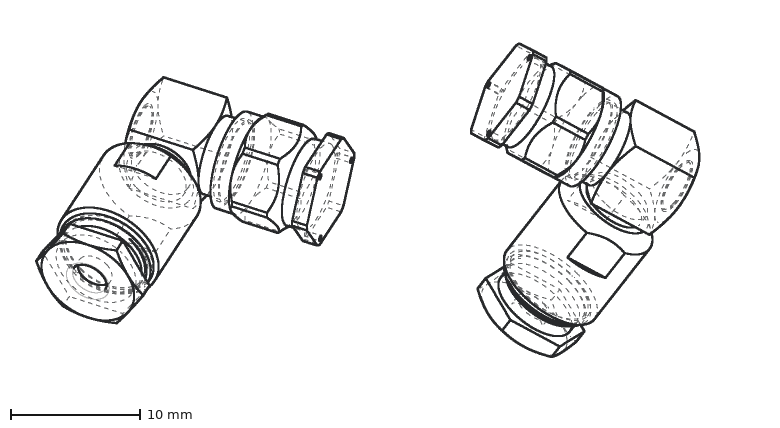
import cadquery as cq
import math


across_flats = 7.9
flat_height = across_flats / 2
hexagon_radius = flat_height / math.cos(math.radians(30))

body_side = 6.37
body_half = body_side / 2
body_end_taper = 20.0
cap_groove_outer_radius = 2.23
cap_groove_root_radius = 2.1
cap_groove_inner_radius = 2.04
cap_groove_depth = 0.13

arm_radius = body_half
collar_start = 4.55
collar_end = 6.11
collar_bore_radius = 3.38
collar_bore_depth = 0.42
coupling_corner_radius = 4.42
coupling_neck_radius = 3.55
coupling_neck_start = 10.45
flange_start = 11.72
flange_end = 12.97
wire_hole_diameter = 0.42
wire_hole_circle_radius = 3.85

cable_neck_radius = 2.55
barrel_start = 4.08
barrel_end = 13.08
barrel_radius = 8.65 / 2
barrel_chamfer_radius = 3.16
wrench_flat_end = 7.98
thread_crest_radius = 3.95
thread_core_radius = 3.52
thread_pitch = 0.5
groove_end = 13.93
thread_end = 14.2
thread_half_angle = 30.0
thread_crest_at_x = 13.7
ridge_sink = 0.01
gland_neck_radius = 3.4
gland_nut_start = 15.29
gland_nut_end = 16.81
gland_chamfer_angle = 30.0
gland_bore_radius = 1.46
gland_bore_depth = 1.3
gland_bore_rounding = 0.36

overlap = 0.21


def turn_about_x(points):
    """Solid of revolution from (x, radius) points that close along the X axis."""
    outline = [(points[0][0], 0)] + points + [(points[-1][0], 0)]
    return cq.Workplane("XY").polyline(outline).close().revolve(360, (0, 0), (1, 0))


def turn_about_cable(points):
    """Solid of revolution from (distance along -Y, radius) points."""
    outline = [(0, -points[0][0])] + [(r, -d) for d, r in points] + [(0, -points[-1][0])]
    return cq.Workplane("XY").polyline(outline).close().revolve(360, (0, 0), (0, 1))


def hexagon_bar(plane, start, end):
    """Hexagonal bar along the plane normal, with two of its flats facing +Z and -Z."""
    return cq.Workplane(plane).workplane(offset=start).polygon(6, 2 * hexagon_radius).extrude(end - start)


def make_body():
    block = cq.Workplane("XY").box(body_side, body_side, body_side)
    corner_radius = body_half * math.sqrt(2)
    taper_length = (corner_radius - body_half) * math.tan(math.radians(body_end_taper))
    envelope = turn_about_x([
        (-body_half, body_half),
        (-body_half + taper_length, corner_radius),
        (body_half - taper_length, corner_radius),
        (body_half, body_half),
    ])
    groove = (
        cq.Workplane("XY")
        .polyline([
            (-body_half, cap_groove_outer_radius),
            (-body_half + cap_groove_depth, cap_groove_root_radius),
            (-body_half, cap_groove_inner_radius),
        ])
        .close()
        .revolve(360, (0, 0), (1, 0))
    )
    return block.intersect(envelope).cut(groove)


def make_coupling():
    tube = turn_about_x([(0, arm_radius), (collar_end, arm_radius)])

    collar = turn_about_x([(collar_start, flat_height), (collar_end, flat_height)])
    collar_bore = turn_about_x([
        (collar_start, collar_bore_radius),
        (collar_start + collar_bore_depth, collar_bore_radius),
    ])

    front_cone = coupling_corner_radius - flat_height
    rear_cone = coupling_corner_radius - coupling_neck_radius
    nut = hexagon_bar("YZ", collar_end, coupling_neck_start).intersect(turn_about_x([
        (collar_end, flat_height),
        (collar_end + front_cone, coupling_corner_radius),
        (coupling_neck_start - rear_cone, coupling_corner_radius),
        (coupling_neck_start, coupling_neck_radius),
    ]))
    neck = turn_about_x([
        (coupling_neck_start - overlap, coupling_neck_radius),
        (flange_start + overlap, coupling_neck_radius),
    ])

    flange = hexagon_bar("YZ", flange_start, flange_end).intersect(turn_about_x([
        (flange_start, coupling_corner_radius),
        (flange_end, coupling_corner_radius),
    ]))
    wire_hole_count = 3
    wire_holes = (
        cq.Workplane("YZ")
        .workplane(offset=flange_start)
        .polarArray(wire_hole_circle_radius, 0, 360, wire_hole_count)
        .circle(wire_hole_diameter / 2)
        .extrude(flange_end - flange_start)
    )
    return collar.cut(collar_bore).union(tube).union(nut).union(neck).union(flange.cut(wire_holes))


def make_barrel():
    neck = turn_about_cable([(0, cable_neck_radius), (barrel_start + overlap, cable_neck_radius)])
    barrel = turn_about_cable([
        (barrel_start, barrel_chamfer_radius),
        (barrel_start + barrel_radius - barrel_chamfer_radius, barrel_radius),
        (barrel_end, barrel_radius),
    ])
    flat_length = wrench_flat_end - barrel_start
    for side in (1, -1):
        cutter = cq.Workplane("XY").box(2 * barrel_radius, flat_length, barrel_radius).translate(
            (0, -barrel_start - flat_length / 2, side * (flat_height + barrel_radius / 2))
        )
        barrel = barrel.cut(cutter)
    return barrel.union(neck)


def make_thread():
    """Right-handed 60 degree thread that ends in a 45 degree cone."""
    hidden_turns = 3
    hidden_start = barrel_end - hidden_turns * thread_pitch
    core = turn_about_cable([(hidden_start, thread_core_radius), (thread_end, thread_core_radius)])
    trim_radius = thread_crest_radius + overlap
    trim_cone = turn_about_cable([
        (hidden_start - thread_pitch, trim_radius),
        (thread_end - (trim_radius - gland_neck_radius), trim_radius),
        (thread_end, gland_neck_radius),
    ])
    run_out = turn_about_cable([(groove_end, trim_radius), (thread_end, trim_radius)])
    ridge_turns = hidden_turns + 1
    ridge_start = thread_crest_at_x - hidden_turns * thread_pitch
    ridge_base_radius = thread_core_radius - ridge_sink
    base_half_width = (thread_crest_radius - ridge_base_radius) * math.tan(math.radians(thread_half_angle))
    path = cq.Wire.makeHelix(thread_pitch, ridge_turns * thread_pitch, ridge_base_radius)
    ridge = (
        cq.Workplane("XZ")
        .polyline([
            (ridge_base_radius, base_half_width),
            (thread_crest_radius, 0),
            (ridge_base_radius, -base_half_width),
        ])
        .close()
        .sweep(cq.Workplane("XY").add(path), isFrenet=True)
        .translate((0, 0, ridge_start))
        .rotate((0, 0, 0), (1, 0, 0), 90)
    )
    return core.union(ridge).union(run_out).intersect(trim_cone)


def make_gland_nut():
    neck = turn_about_cable([
        (thread_end - overlap, gland_neck_radius),
        (gland_nut_start + overlap, gland_neck_radius),
    ])
    chamfer_length = (hexagon_radius - flat_height) * math.tan(math.radians(gland_chamfer_angle))
    nut = hexagon_bar("XZ", gland_nut_start, gland_nut_end).intersect(turn_about_cable([
        (gland_nut_start, hexagon_radius),
        (gland_nut_end - chamfer_length, hexagon_radius),
        (gland_nut_end, flat_height),
    ]))
    bore = cq.Workplane("XZ").workplane(offset=gland_nut_end - gland_bore_depth)
    bore = bore.circle(gland_bore_radius).extrude(gland_bore_depth)
    gland = nut.union(neck).cut(bore)
    bore_mouth = cq.selectors.RadiusNthSelector(0)
    return gland.faces("<Y").edges("%CIRCLE").edges(bore_mouth).fillet(gland_bore_rounding)


result = (
    make_body()
    .union(make_coupling())
    .union(make_barrel())
    .union(make_thread())
    .union(make_gland_nut())
)